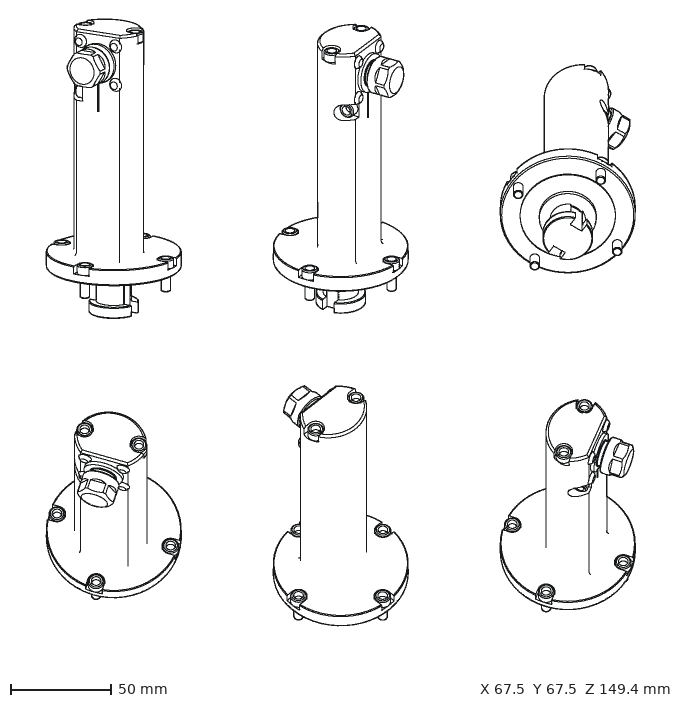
import cadquery as cq
import math

TOTAL_HEIGHT = 149.4
FOOT_TOP = 5.8
SHAFT_TOP = 19.1
HUB_BOTTOM = 20.2
RIM_BOTTOM = 22.4
FLANGE_BOTTOM = 23.1
FLANGE_TOP = 31.7
CAP_BOTTOM = 108.3

FOOT_DIAMETER = 25.0
SHAFT_DIAMETER = 17.6
NECK_DIAMETER = 15.1
SLOT_WIDTH = 6.9
SLOT_FLOOR_X = 7.5
FOOT_CHAMFER = 0.5

FLANGE_DIAMETER = 67.5
RIM_DIAMETER = 47.6
HUB_DIAMETER = 28.5
FLANGE_TOP_CHAMFER = 0.5
FLANGE_BOTTOM_CHAMFER = 0.7
PIN_CIRCLE_RADIUS = 29.7
PIN_DIAMETER = 4.8
PIN_BOTTOM = 15.1
PIN_CHAMFER = 0.5

HEAD_DIAMETER = 7.9
HEAD_TOP_DIAMETER = 6.7
HEAD_HEIGHT = 4.6
SOCKET_DIAMETER = 4.8
SOCKET_DEPTH = 3.6
POCKET_WIDTH = 8.7
FLANGE_POCKET_FLOOR = 27.6

BACK_Y = 10.3
BACK_RADIUS = 19.4
FRONT_RADIUS = 19.3
FRONT_CENTER_Y = -1.3
SIDE_RADIUS = 6.4
FRONT_Y = -16.1
TOP_CHAMFER = 1.2
BASE_FILLET = 1.8

CAP_SCREW_X = 14.2
CAP_SCREW_Y = -3.5
CAP_POCKET_FLOOR = 144.0
CLAMP_SCREW_Y = -11.5
CLAMP_SCREW_Z = 116.8
CLAMP_POCKET_FLOOR_X = 9.0

GLAND_Z = 133.7
PLATE_DIAMETER = 20.2
PLATE_THICKNESS = 1.8
COLLAR_DIAMETER = 13.9
COLLAR_THICKNESS = 0.5
GLAND_NECK_DIAMETER = 13.0
NUT_DIAMETER = 18.8
NUT_START = 4.5
NUT_BACK_CHAMFER = 0.6
NUT_FLAT_START = 10.0
NUT_END = 16.6
NUT_CONE_LENGTH = 1.6
NUT_END_DIAMETER = 13.7
NUT_ACROSS_FLATS = 17.0
GLAND_SCREW_OFFSET = 10.0
GLAND_SCREW_DIAMETER = 6.7
GLAND_SCREW_TOP_DIAMETER = 3.9
GLAND_SCREW_HEIGHT = 1.8
GROOVE_WIDTH = 0.5
GROOVE_DEPTH = 0.5


def disc(diameter, bottom, top):
    """Cylinder on the Z axis between two heights."""
    return cq.Workplane("XY").workplane(offset=bottom).circle(diameter / 2).extrude(top - bottom)


def place_on_front(shape, x, z):
    """Turn a shape built along +Z to point along -Y and put its base on the front flat."""
    return shape.rotate((0, 0, 0), (1, 0, 0), 90).translate((x, FRONT_Y, z))


def screw_head():
    """Cylindrical head standing on the XY plane, with a bevelled rim and a round socket."""
    bevel = (HEAD_DIAMETER - HEAD_TOP_DIAMETER) / 2
    head = disc(HEAD_DIAMETER, 0, HEAD_HEIGHT).faces(">Z").chamfer(bevel)
    return head.cut(disc(SOCKET_DIAMETER, HEAD_HEIGHT - SOCKET_DEPTH, HEAD_HEIGHT))


def screw_pocket(depth, reach):
    """Pocket standing on the XY plane, round around the origin and open towards +X."""
    slot = cq.Workplane("XY").rect(reach, POCKET_WIDTH).extrude(depth).translate((reach / 2, 0, 0))
    return disc(POCKET_WIDTH, 0, depth).union(slot)


def make_foot():
    foot = disc(FOOT_DIAMETER, 0, FOOT_TOP).edges().chamfer(FOOT_CHAMFER)
    foot = foot.union(disc(SHAFT_DIAMETER, FOOT_TOP, SHAFT_TOP))
    slot_depth = FOOT_DIAMETER / 2
    for side in (-1, 1):
        slot = cq.Workplane("XY").rect(slot_depth, SLOT_WIDTH).extrude(SHAFT_TOP)
        foot = foot.cut(slot.translate((side * (SLOT_FLOOR_X + slot_depth / 2), 0, 0)))
    return foot.union(disc(NECK_DIAMETER, SHAFT_TOP, HUB_BOTTOM))


def make_flange():
    flange = disc(FLANGE_DIAMETER, FLANGE_BOTTOM, FLANGE_TOP)
    flange = flange.faces(">Z").chamfer(FLANGE_TOP_CHAMFER)
    flange = flange.faces("<Z").chamfer(FLANGE_BOTTOM_CHAMFER)
    flange = flange.union(disc(RIM_DIAMETER, RIM_BOTTOM, FLANGE_BOTTOM))
    return flange.union(disc(HUB_DIAMETER, HUB_BOTTOM, RIM_BOTTOM))


def place_on_pin_circle(shape, angle):
    """Move a shape from the Z axis out to the pin circle, at an angle in degrees."""
    return shape.translate((PIN_CIRCLE_RADIUS, 0, 0)).rotate((0, 0, 0), (0, 0, 1), angle)


def add_flange_screws(body):
    pocket_reach = FLANGE_DIAMETER / 2 - PIN_CIRCLE_RADIUS + POCKET_WIDTH
    pocket = screw_pocket(FLANGE_TOP - FLANGE_POCKET_FLOOR, pocket_reach)
    pocket = pocket.translate((0, 0, FLANGE_POCKET_FLOOR))
    pin = disc(PIN_DIAMETER, PIN_BOTTOM, FLANGE_BOTTOM).faces("<Z").chamfer(PIN_CHAMFER)
    head = screw_head().translate((0, 0, FLANGE_POCKET_FLOOR))
    for angle in (0, 90, 180, 270):
        body = body.cut(place_on_pin_circle(pocket, angle))
        body = body.union(place_on_pin_circle(head, angle))
        body = body.union(place_on_pin_circle(pin, angle))
    return body


def point_on_arc(center, radius, angle):
    return (center[0] + radius * math.cos(angle), center[1] + radius * math.sin(angle))


def mirrored(point):
    return (-point[0], point[1])


def make_housing():
    back_center = (0, BACK_Y - BACK_RADIUS)
    front_center = (0, FRONT_CENTER_Y)

    back_distance = BACK_RADIUS - SIDE_RADIUS
    front_distance = FRONT_RADIUS - SIDE_RADIUS
    center_gap = front_center[1] - back_center[1]
    side_rise = (back_distance**2 - front_distance**2 + center_gap**2) / (2 * center_gap)
    side_center = (math.sqrt(back_distance**2 - side_rise**2), back_center[1] + side_rise)
    back_angle = math.atan2(side_rise, side_center[0])
    front_angle = math.atan2(side_center[1] - front_center[1], side_center[0])
    flat_angle = math.asin((FRONT_Y - front_center[1]) / FRONT_RADIUS)

    side_back = point_on_arc(back_center, BACK_RADIUS, back_angle)
    side_tip = point_on_arc(side_center, SIDE_RADIUS, 0)
    side_front = point_on_arc(front_center, FRONT_RADIUS, front_angle)
    front_middle = point_on_arc(front_center, FRONT_RADIUS, (front_angle + flat_angle) / 2)
    flat_end = point_on_arc(front_center, FRONT_RADIUS, flat_angle)

    outline = (
        cq.Workplane("XY").workplane(offset=FLANGE_TOP)
        .moveTo(*mirrored(side_back))
        .threePointArc((0, BACK_Y), side_back)
        .threePointArc(side_tip, side_front)
        .threePointArc(front_middle, flat_end)
        .lineTo(*mirrored(flat_end))
        .threePointArc(mirrored(front_middle), mirrored(side_front))
        .threePointArc(mirrored(side_tip), mirrored(side_back))
        .close()
    )
    return outline.extrude(TOTAL_HEIGHT - FLANGE_TOP).faces(">Z").chamfer(TOP_CHAMFER)


def add_base_fillet(body):
    foot_edges = cq.selectors.BoxSelector(
        (-BACK_RADIUS, -BACK_RADIUS, FLANGE_TOP - BASE_FILLET / 2),
        (BACK_RADIUS, BACK_RADIUS, FLANGE_TOP + BASE_FILLET / 2),
        boundingbox=True,
    )
    return body.edges(foot_edges).fillet(BASE_FILLET)


def add_cap_screws(body):
    pocket = screw_pocket(TOTAL_HEIGHT - CAP_POCKET_FLOOR, BACK_RADIUS)
    for side, angle in ((1, 0), (-1, 180)):
        seat = (side * CAP_SCREW_X, CAP_SCREW_Y, CAP_POCKET_FLOOR)
        body = body.cut(pocket.rotate((0, 0, 0), (0, 0, 1), angle).translate(seat))
        body = body.union(screw_head().translate(seat))
    return body


def add_clamp_screw(body):
    seat = (-CLAMP_POCKET_FLOOR_X, CLAMP_SCREW_Y, CLAMP_SCREW_Z)
    pocket = screw_pocket(BACK_RADIUS, BACK_RADIUS)
    pocket = pocket.rotate((0, 0, 0), (0, 0, 1), -90).rotate((0, 0, 0), (0, 1, 0), -90)
    head = screw_head().rotate((0, 0, 0), (0, 1, 0), -90)
    return body.cut(pocket.translate(seat)).union(head.translate(seat))


def make_gland_nut():
    nut_radius = NUT_DIAMETER / 2
    nut = (
        cq.Workplane("XZ")
        .moveTo(0, NUT_START)
        .lineTo(nut_radius - NUT_BACK_CHAMFER, NUT_START)
        .lineTo(nut_radius, NUT_START + NUT_BACK_CHAMFER)
        .lineTo(nut_radius, NUT_END - NUT_CONE_LENGTH)
        .lineTo(NUT_END_DIAMETER / 2, NUT_END)
        .lineTo(0, NUT_END)
        .close()
        .revolve(360, (0, 0), (0, 1))
    )
    flat_distance = NUT_ACROSS_FLATS / 2
    cut_width = NUT_DIAMETER
    flat_cut = (
        cq.Workplane("XZ")
        .moveTo(flat_distance, NUT_FLAT_START)
        .lineTo(flat_distance, NUT_END)
        .lineTo(NUT_DIAMETER, NUT_END)
        .lineTo(NUT_DIAMETER, NUT_FLAT_START - (NUT_DIAMETER - flat_distance))
        .close()
        .extrude(cut_width / 2, both=True)
    )
    for angle in range(30, 360, 60):
        nut = nut.cut(flat_cut.rotate((0, 0, 0), (0, 0, 1), angle))
    return nut


def make_gland_screw():
    """Domed screw head with a flat top, standing on the XY plane."""
    base_radius = GLAND_SCREW_DIAMETER / 2
    top_radius = GLAND_SCREW_TOP_DIAMETER / 2
    center_z = (GLAND_SCREW_HEIGHT**2 + top_radius**2 - base_radius**2) / (2 * GLAND_SCREW_HEIGHT)
    dome = cq.Workplane("XY").sphere(math.hypot(base_radius, center_z)).translate((0, 0, center_z))
    return dome.intersect(disc(GLAND_SCREW_DIAMETER, 0, GLAND_SCREW_HEIGHT))


def add_gland(body):
    collar_end = PLATE_THICKNESS + COLLAR_THICKNESS
    gland = disc(PLATE_DIAMETER, 0, PLATE_THICKNESS)
    gland = gland.union(disc(COLLAR_DIAMETER, PLATE_THICKNESS, collar_end))
    gland = gland.union(disc(GLAND_NECK_DIAMETER, collar_end, NUT_START))
    gland = gland.union(make_gland_nut())
    body = body.union(place_on_front(gland, 0, GLAND_Z))
    for x in (-GLAND_SCREW_OFFSET, GLAND_SCREW_OFFSET):
        for z in (GLAND_Z - GLAND_SCREW_OFFSET, GLAND_Z + GLAND_SCREW_OFFSET):
            body = body.union(place_on_front(make_gland_screw(), x, z))
    return body


def cut_front_groove(body):
    """Narrow upright groove in the front flat, from the cap's lower edge up to the gland."""
    groove = (
        cq.Workplane("XY").workplane(offset=CAP_BOTTOM)
        .center(0, FRONT_Y)
        .rect(GROOVE_WIDTH, 2 * GROOVE_DEPTH)
        .extrude(GLAND_Z - CAP_BOTTOM)
    )
    return body.cut(groove)


result = make_flange().union(make_housing())
result = add_base_fillet(result)
result = add_flange_screws(result)
result = result.union(make_foot())
result = cut_front_groove(result)
result = add_cap_screws(result)
result = add_clamp_screw(result)
result = add_gland(result)